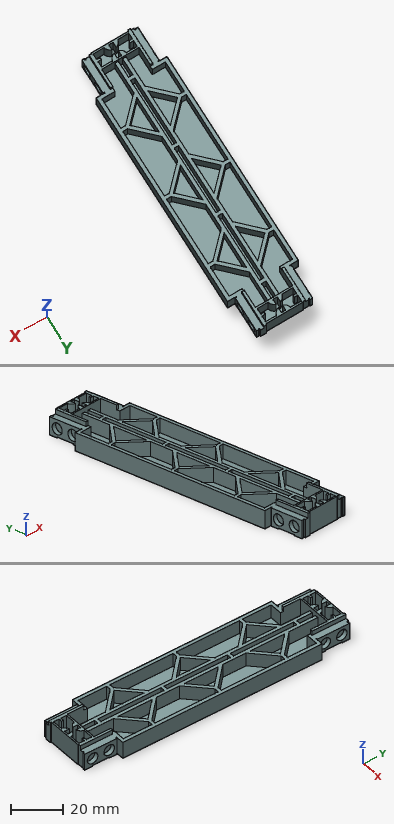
import cadquery as cq
import math

overall_length = 128.8
body_width = 31.8
body_half_length = 48.0
body_height = 8.0
end_height = 10.0
wall = 1.5
outer_wall = 1.7
floor = 1.5
thin_wall = 0.8

end_face_y = 63.9
ledge_half_width = 12.6
raised_half_width = 9.5
well_half_width = 8.4
cross_wall_inner_y = 56.2

slot_half_width = 0.97
rib_half_width = slot_half_width + wall
tie_pitch = 32.0

diamond_half_diagonal = 12.9
diamond_opening_half_diagonal = diamond_half_diagonal - wall * math.sqrt(2)

side_step = 0.4
post_radius = 3.2
tab_reach = 1.5
tab_thickness = 0.9

hole_diameter = 5.0
hole_depth = 2.0
hole_z = 4.0
hole_ys = (52.0, 60.0)

tongue_outer_x = 11.1
groove_outer_x = 11.5
recess_y = 63.6
recess_groove_y = 63.2

relief_depth = 0.6
relief_width = 0.3
notch_height = 0.4

body_half_width = body_width / 2
inner_half_width = body_half_width - outer_wall
body_inner_y = body_half_length - wall
pocket_start_y = cross_wall_inner_y + thin_wall
pocket_end_y = end_face_y - thin_wall
pocket_half_width = well_half_width - side_step
pocket_mid_y = (pocket_start_y + pocket_end_y) / 2


def block(x_range, y_range, z_range):
    """Axis-aligned box between the given limits."""
    size = [high - low for low, high in (x_range, y_range, z_range)]
    return cq.Workplane("XY").box(*size, centered=False).translate((x_range[0], y_range[0], z_range[0]))


def centered_block(half_x, half_y, z_range):
    """Box centred on the Z axis, given by its half widths."""
    return block((-half_x, half_x), (-half_y, half_y), z_range)


def other_end(shape):
    """Copy turned half a turn about Z."""
    return shape.rotate((0, 0, 0), (0, 0, 1), 180)


def diamond(half_diagonal, y):
    """Square prism standing on the floor with its corners along X and Y."""
    points = [(half_diagonal, y), (0, y + half_diagonal), (-half_diagonal, y), (0, y - half_diagonal)]
    return cq.Workplane("XY").workplane(offset=floor).polyline(points).close().extrude(body_height - floor)


def shell():
    """Solid outline with the long open well cut down to the floor."""
    solid = centered_block(body_half_width, body_half_length, (0, body_height))
    solid = solid.union(centered_block(ledge_half_width, end_face_y, (0, body_height)))
    for side in (-1, 1):
        y_range = sorted((side * body_half_length, side * end_face_y))
        solid = solid.union(block((-raised_half_width, raised_half_width), y_range, (0, end_height)))
    well = centered_block(inner_half_width, body_inner_y, (floor, end_height))
    well = well.union(centered_block(well_half_width, cross_wall_inner_y, (floor, end_height)))
    return solid.cut(well)


def bracing():
    """Twin ribs with ties, and the three diamonds with their stubs to the side walls."""
    z_range = (floor, body_height)
    web = None
    for index in (-1, 0, 1):
        y = index * tie_pitch
        frame = diamond(diamond_half_diagonal, y).cut(diamond(diamond_opening_half_diagonal, y))
        for side in (-1, 1):
            x_range = sorted((side * (diamond_half_diagonal - wall), side * inner_half_width))
            frame = frame.union(block(x_range, (y - wall / 2, y + wall / 2), z_range))
        web = frame if web is None else web.union(frame)
    web = web.union(centered_block(rib_half_width, cross_wall_inner_y, z_range))
    web = web.cut(centered_block(slot_half_width, cross_wall_inner_y, z_range))
    for step in (-1.5, -0.5, 0.5, 1.5):
        y = step * tie_pitch
        web = web.union(block((-slot_half_width, slot_half_width), (y - wall / 2, y + wall / 2), z_range))
    return web


def end_pocket():
    """Void of the +Y end box: leaves split round posts and a short tab on each side wall."""
    z_range = (floor, end_height)
    y_range = (pocket_start_y, pocket_end_y)
    pocket = block((-pocket_half_width, pocket_half_width), y_range, z_range)
    for y in (cross_wall_inner_y, end_face_y):
        pocket = pocket.cut(cq.Workplane("XY").center(0, y).circle(post_radius).extrude(end_height))
    for side in (-1, 1):
        x_range = sorted((side * (pocket_half_width - tab_reach), side * pocket_half_width))
        tab_y = (pocket_mid_y - tab_thickness / 2, pocket_mid_y + tab_thickness / 2)
        pocket = pocket.cut(block(x_range, tab_y, z_range))
    return pocket.union(block((-slot_half_width, slot_half_width), y_range, z_range))


def side_holes():
    """Blind holes in the two ledge sides of the +Y end."""
    points = [(y, hole_z) for y in hole_ys]
    holes = (
        cq.Workplane("YZ").workplane(offset=ledge_half_width - hole_depth)
        .pushPoints(points).circle(hole_diameter / 2).extrude(hole_depth)
    )
    return holes.union(holes.mirror("YZ"))


def end_tongue():
    """Tongue standing out from the +Y end on the +X side, over the ledge and the raised wall."""
    y_range = (body_half_length, overall_length / 2)
    tongue = block((well_half_width, tongue_outer_x), y_range, (0, body_height))
    return tongue.union(block((well_half_width, raised_half_width), y_range, (0, end_height)))


def end_recess():
    """Step back of the +Y end on the -X side, with narrow grooves outside the step and the tongue."""
    z_range = (0, end_height)
    recess = block((-tongue_outer_x, -well_half_width), (recess_y, overall_length), z_range)
    recess = recess.union(block((-groove_outer_x, -tongue_outer_x), (recess_groove_y, overall_length), z_range))
    return recess.union(block((tongue_outer_x, groove_outer_x), (recess_y, overall_length), z_range))


def shoulder_reliefs():
    """Corner reliefs where the +Y ledges meet the shoulders of the body."""
    x_range = (ledge_half_width - relief_depth, ledge_half_width)
    relief = block(x_range, (body_half_length, body_half_length + relief_width), (0, body_height))
    return relief.union(relief.mirror("YZ"))


def foot_notches():
    """Shallow notches under the ledge sides, running between the hole centres."""
    x_range = (ledge_half_width - hole_depth, ledge_half_width)
    notch = block(x_range, hole_ys, (0, notch_height))
    return notch.union(notch.mirror("YZ"))


plus_y_end_cuts = (end_recess, end_pocket, side_holes, shoulder_reliefs, foot_notches)

result = shell().union(bracing())
result = result.union(end_tongue()).union(other_end(end_tongue()))
for make_cut in plus_y_end_cuts:
    result = result.cut(make_cut()).cut(other_end(make_cut()))